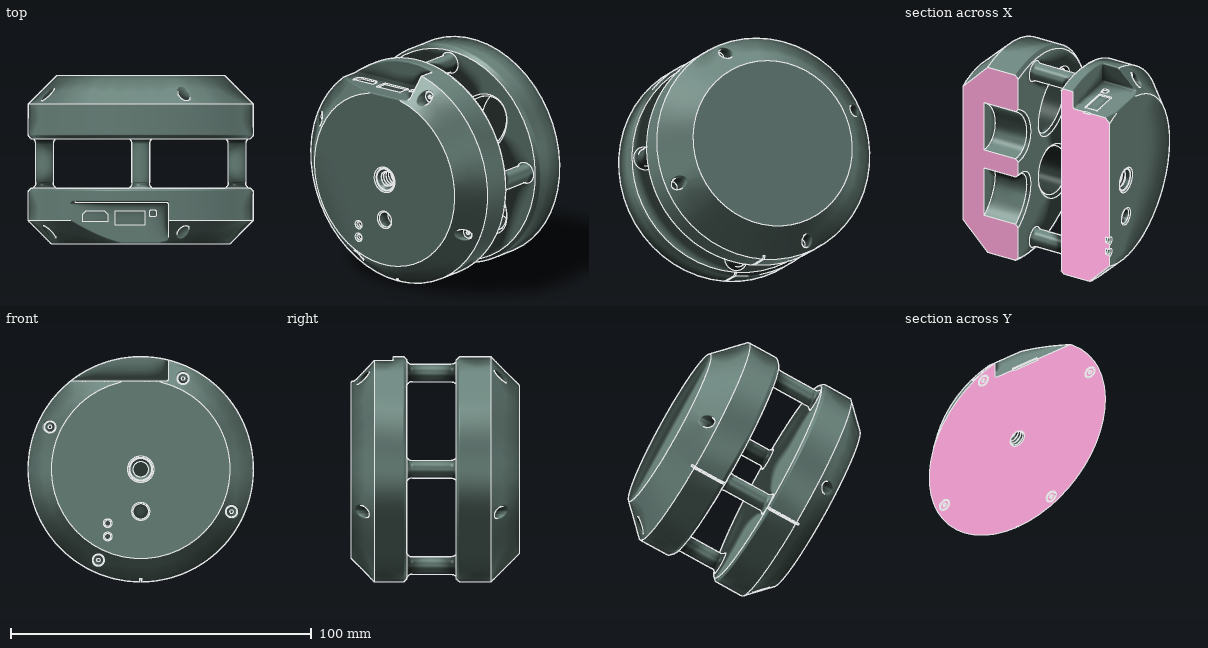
import cadquery as cq
import math

outer_radius = 37.5
total_depth = 56.05
front_depth = 18.6
gap = 16.25
rear_start = front_depth + gap
rear_end = total_depth

front_face_radius = 29.7
rear_face_radius = 28.0
front_shoulder = outer_radius - front_face_radius
rear_shoulder = outer_radius - rear_face_radius
front_lip = 1.0
front_lip_round = 0.5
rear_lip = 1.2
rear_lip_round = 0.7

pillar_count = 4
pillar_circle = 32.0
pillar_radius = 3.0
front_foot_radius = 3.9
front_foot_height = 1.9
foot_cone = 0.6
rear_foot_radius = 3.6
rear_foot_height = 1.6

screw_count = 4
screw_first_angle = 65.0
front_screw_circle = 33.3
rear_screw_circle = 33.9
screw_bore_radius = 2.0
front_bore_depth = 8.0
rear_bore_depth = 14.0
screw_mouth_round = 0.35
screw_reach = 2.5
screw_head_radius = 1.75
screw_head_depth = 6.4
screw_socket_width = 1.3
screw_socket_depth = 0.8

groove_width = 0.6
groove_depth = 1.1

recess_floor = 29.3
recess_wall_x = 9.2
recess_wall_y = 13.9
recess_fillet = 0.7
recess_rim_round = 0.5
rim_tolerance = 1e-4
rim_margin = 0.1
rim_samples = (0.01, 0.3, 0.5, 0.99)

port_depth = 0.5
port_back = 10.95
wide_port_left = -19.4
wide_port_right = -10.9
wide_port_front = 7.55
wide_port_cut = 1.1
square_port_size = (10.0, 4.65)
square_port_center = (-3.5, port_back - square_port_size[1] / 2)
button_size = (2.4, 2.2)
button_center = (4.05, 10.2)
button_corner = 0.6

thread_major_radius = 6.35 / 2
thread_minor_radius = 5.12 / 2
thread_pitch = 1.27
thread_turns = 6
thread_lead_radius = 7.2 / 2
insert_radius = 7.9 / 2
insert_depth = 0.5
insert_rim_radius = 8.8 / 2
pin_hole_z = -14.0
pin_hole_radius = 5.12 / 2
pin_hole_chamfer = 0.45
pin_hole_depth = 5.0
lamp_x = -11.0
lamp_heights = (-17.9, -22.35)
lamp_radius = 1.0
lamp_chamfer = 0.45
lamp_depth = 1.5

pocket_count = 4
pocket_first_angle = 45.0
pocket_circle = 19.0
pocket_half_width = 16.15 / 2
pocket_half_length = pocket_half_width * math.sqrt(2)
pocket_depth = 13.0
pocket_chamfer = 1.0


def revolved(points):
    """Solid of revolution about Y from (radius, y) points, with its seam at the bottom."""
    solid = cq.Workplane("XY").polyline(points).close().revolve(360, (0, 0, 0), (0, 1, 0))
    return solid.rotate((0, 0, 0), (0, 1, 0), 90)


def along_y(y):
    """Workplane at the given y, with local x = X, local y = Z and its normal toward -Y."""
    return cq.Workplane("XZ", origin=(0, y, 0))


def cylinder(radius, y_start, y_end, x, z):
    return along_y(y_start).center(x, z).circle(radius).extrude(y_start - y_end)


def on_circle(radius, first_angle, count):
    """Evenly spaced (x, z) places on a circle about the Y axis."""
    places = []
    for i in range(count):
        angle = math.radians(first_angle + i * 360 / count)
        places.append((radius * math.cos(angle), radius * math.sin(angle)))
    return places


def chamfered_hole(radius, chamfer, depth, x, z):
    """Blind hole in the front face with a chamfered mouth."""
    profile = [(0, 0), (radius + chamfer, 0), (radius, chamfer), (radius, depth), (0, depth)]
    return revolved(profile).translate((x, 0, z))


def lip_corner(y):
    """Selector of the circle at height y, where a lip chamfer meets the outer cylinder."""
    reach = 2 * outer_radius
    margin = 0.1
    return cq.selectors.BoxSelector(
        (-reach, y - margin, -reach), (reach, y + margin, reach), boundingbox=True
    )


def screw_bores(housing, circle, mouth_y, floor_y):
    """Cut screw bores from the end face into the cone and round their mouths."""
    places = on_circle(circle, screw_first_angle, screw_count)
    for x, z in places:
        housing = housing.cut(cylinder(screw_bore_radius, mouth_y, floor_y, x, z))
    low, high = sorted((mouth_y, floor_y))
    for x, z in places:
        around = cq.selectors.BoxSelector(
            (x - screw_reach, low, z - screw_reach), (x + screw_reach, high, z + screw_reach)
        )
        rim = housing.edges(around).edges("not(%LINE or %CIRCLE)")
        housing = rim.fillet(screw_mouth_round)
    return housing


def bottom_groove(y_start, y_end):
    """Narrow groove along the lowest line of a housing."""
    bar = cq.Workplane("XY").box(groove_width, y_end - y_start, 2 * groove_depth)
    return bar.translate((0, (y_start + y_end) / 2, -outer_radius))


def front_blank():
    profile = [
        (0, 0),
        (front_face_radius, 0),
        (outer_radius, front_shoulder),
        (outer_radius, front_depth - front_lip),
        (outer_radius - front_lip, front_depth),
        (0, front_depth),
    ]
    return revolved(profile)


def connector_recess():
    """Block that cuts the recess, with its inner corners rounded."""
    far = 2 * outer_radius
    block = cq.Workplane("XY").box(far, far, far, centered=False).translate(
        (recess_wall_x - far, recess_wall_y - far, recess_floor)
    )
    return block.edges("(>X and >Y) or (>X and <Z) or (>Y and <Z)").fillet(recess_fillet)


def recessed_front():
    """Front blank with the connector recess cut in and its outer rim rounded."""
    blank = front_blank()
    skin = blank.val().Shells()[0]
    housing = blank.cut(connector_recess())

    def on_rim(edge):
        samples = [edge.positionAt(t) for t in rim_samples]
        on_skin = all(
            skin.distance(cq.Vertex.makeVertex(*p.toTuple())) < rim_tolerance for p in samples
        )
        in_recess = all(
            p.x < recess_wall_x + rim_margin
            and p.y < recess_wall_y + rim_margin
            and p.z > recess_floor - rim_margin
            for p in samples
        )
        return on_skin and in_recess

    return housing.edges().filter(on_rim).fillet(recess_rim_round)


def port_openings():
    """Shallow outlines of a wide port, a square port and a button in the recess floor."""
    floor = cq.Workplane("XY", origin=(0, 0, recess_floor - port_depth))
    wide_port = (
        floor.polyline([
            (wide_port_left, wide_port_front),
            (wide_port_right, wide_port_front),
            (wide_port_right, port_back - wide_port_cut),
            (wide_port_right - wide_port_cut, port_back),
            (wide_port_left + wide_port_cut, port_back),
            (wide_port_left, port_back - wide_port_cut),
        ]).close().extrude(2 * port_depth)
    )
    square_port = floor.center(*square_port_center).rect(*square_port_size).extrude(2 * port_depth)
    button = floor.center(*button_center).rect(*button_size).extrude(2 * port_depth)
    button = button.edges("|Z").fillet(button_corner)
    return wide_port.union(square_port).union(button)


def screw_head(x, z):
    """Socket head standing on the floor of a front screw bore."""
    head = cylinder(screw_head_radius, screw_head_depth, front_bore_depth, x, z)
    socket = along_y(screw_head_depth).center(x, z).polygon(6, screw_socket_width)
    return head.cut(socket.extrude(-screw_socket_depth))


def tripod_socket():
    """Countersunk insert seat with a ring-grooved thread below it."""
    lead_end = insert_depth + thread_lead_radius - thread_major_radius
    profile = [
        (0, 0),
        (insert_rim_radius, 0),
        (insert_radius, insert_depth),
        (thread_lead_radius, insert_depth),
        (thread_major_radius, lead_end),
    ]
    for turn in range(thread_turns):
        y = lead_end + turn * thread_pitch
        profile.append((thread_minor_radius, y + thread_pitch / 2))
        profile.append((thread_major_radius, y + thread_pitch))
    profile.append((0, lead_end + thread_turns * thread_pitch))
    return revolved(profile)


def pillars():
    """Round pillars with a hollow flare at both feet, one for each place."""
    shaft_start = front_depth + front_foot_height
    shaft_end = rear_start - rear_foot_height
    pillar = (
        cq.Workplane("XY")
        .moveTo(0, front_depth)
        .lineTo(front_foot_radius, front_depth)
        .lineTo(front_foot_radius - foot_cone, front_depth + foot_cone)
        .tangentArcPoint((pillar_radius, shaft_start), relative=False)
        .lineTo(pillar_radius, shaft_end)
        .tangentArcPoint((rear_foot_radius, rear_start), relative=False)
        .lineTo(0, rear_start)
        .close()
        .revolve(360, (0, 0, 0), (0, 1, 0))
    )
    return [pillar.translate((x, 0, z)) for x, z in on_circle(pillar_circle, 0, pillar_count)]


def make_front_housing():
    housing = recessed_front()
    housing = housing.edges(lip_corner(front_depth - front_lip)).fillet(front_lip_round)
    housing = housing.cut(port_openings())
    housing = screw_bores(housing, front_screw_circle, 0, front_bore_depth)
    for x, z in on_circle(front_screw_circle, screw_first_angle, screw_count):
        housing = housing.union(screw_head(x, z))
    housing = housing.cut(bottom_groove(0, front_depth))
    housing = housing.cut(tripod_socket())
    housing = housing.cut(
        chamfered_hole(pin_hole_radius, pin_hole_chamfer, pin_hole_depth, 0, pin_hole_z)
    )
    for lamp_z in lamp_heights:
        housing = housing.cut(chamfered_hole(lamp_radius, lamp_chamfer, lamp_depth, lamp_x, lamp_z))
    for pillar in pillars():
        housing = housing.union(pillar)
    return housing


def rear_blank():
    profile = [
        (0, rear_start),
        (outer_radius - rear_lip, rear_start),
        (outer_radius, rear_start + rear_lip),
        (outer_radius, rear_end - rear_shoulder),
        (rear_face_radius, rear_end),
        (0, rear_end),
    ]
    return revolved(profile)


def oval_pocket(x, z):
    """Oval blind pocket with a chamfered mouth, its long axis pointing at the Y axis."""
    plane = cq.Plane(origin=(x, rear_start, z), xDir=(x, 0, z), normal=(0, 1, 0))
    mouth = (
        cq.Workplane(plane)
        .ellipse(pocket_half_length + pocket_chamfer, pocket_half_width + pocket_chamfer)
        .workplane(offset=pocket_chamfer)
        .ellipse(pocket_half_length, pocket_half_width)
        .loft()
    )
    bore = cq.Workplane(plane).ellipse(pocket_half_length, pocket_half_width).extrude(pocket_depth)
    return bore.union(mouth)


def make_rear_housing():
    housing = rear_blank()
    housing = housing.edges(lip_corner(rear_start + rear_lip)).fillet(rear_lip_round)
    housing = screw_bores(housing, rear_screw_circle, rear_end, rear_end - rear_bore_depth)
    housing = housing.cut(bottom_groove(rear_start, rear_end))
    for x, z in on_circle(pocket_circle, pocket_first_angle, pocket_count):
        housing = housing.cut(oval_pocket(x, z))
    return housing


front_housing = make_front_housing()
rear_housing = make_rear_housing()
result = cq.Compound.makeCompound([*front_housing.solids().vals(), *rear_housing.solids().vals()])